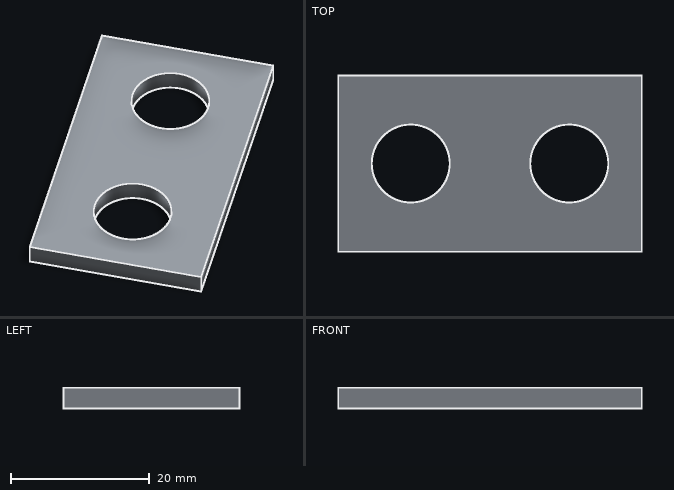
import cadquery as cq

length = 43.7
width = 25.4
thickness = 3.0

hole_diameter = 11.2
hole_spacing = 22.8

plate = cq.Workplane("XY").box(length, width, thickness)

result = (
    plate.faces(">Z")
    .workplane()
    .pushPoints([(-hole_spacing / 2, 0), (hole_spacing / 2, 0)])
    .hole(hole_diameter)
)